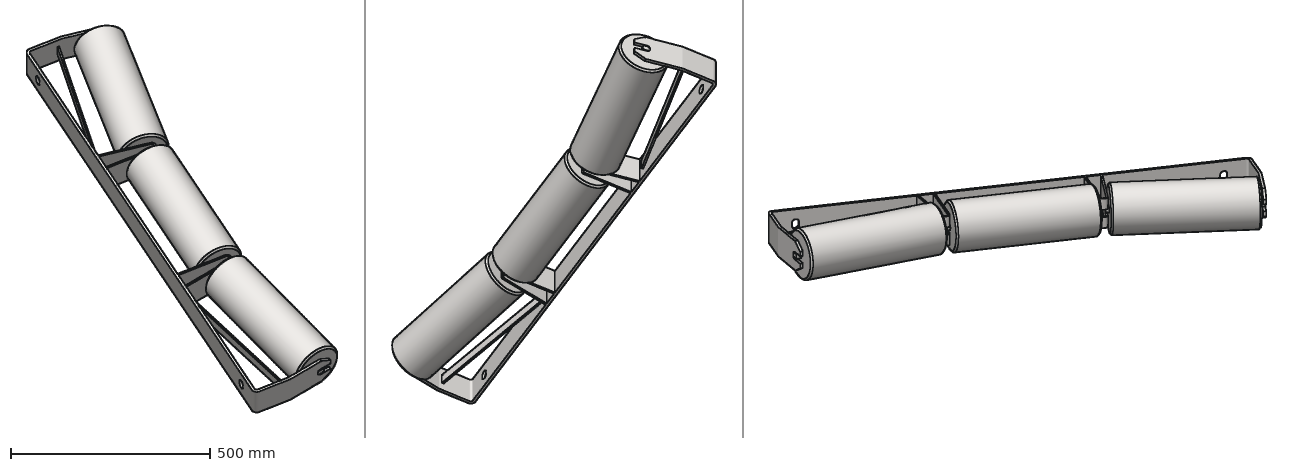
import cadquery as cq
import math

FRAME_LENGTH = 1260.0
STRIP_WIDTH = 81.0
STRIP_THICKNESS = 8.0
CORNER_RADIUS = 14.0
WALL_BEND_HEIGHT = 102.0
WALL_TIP_LENGTH = 127.0
TIP_CHAMFER_ALONG = 29.0
TIP_CHAMFER_ACROSS = 18.0
MOUNT_HOLE_X = 558.0
MOUNT_HOLE_WIDTH = 19.0
MOUNT_HOLE_LENGTH = 26.0

ROLLER_DIAMETER = 134.0
ROLLER_LENGTH = 380.0
ROLLER_CHAMFER = 5.0
SHAFT_DIAMETER = 20.0
SHAFT_ACROSS_FLATS = 14.0
MIDDLE_ROLLER_HEIGHT = 126.0
SIDE_ROLLER_X = 412.0
SIDE_ROLLER_HEIGHT = 161.0
TILT = 10.0

BRACKET_THICKNESS = 5.0
BRACKET_HEIGHT = 152.0
BRACKET_CLEARANCE = 4.0
BRACKET_BEND_RADIUS = 10.0
SLOT_REACH = 13.0

BRACE_WIDTH = 29.0
BRACE_THICKNESS = 5.0
BRACE_FOOT_X = 261.0
BRACE_FOOT_HEIGHT = 14.0
BRACE_TOP_HEIGHT = 95.0

AXIS_X = math.cos(math.radians(TILT))
AXIS_Y = -math.sin(math.radians(TILT))
UP_X = -AXIS_Y
UP_Y = AXIS_X

WALL_X = -FRAME_LENGTH / 2
PLATE_REACH = ROLLER_LENGTH / 2 + BRACKET_CLEARANCE + BRACKET_THICKNESS
WALL_REACH = (-SIDE_ROLLER_X - WALL_X) * AXIS_X + (SIDE_ROLLER_HEIGHT - WALL_BEND_HEIGHT) * AXIS_Y

SIDE_AXIS = cq.Plane(
    origin=(-SIDE_ROLLER_X, SIDE_ROLLER_HEIGHT, 0), xDir=(UP_X, UP_Y, 0), normal=(AXIS_X, AXIS_Y, 0)
)
MIDDLE_AXIS = cq.Plane(origin=(0, MIDDLE_ROLLER_HEIGHT, 0), xDir=(0, 1, 0), normal=(-1, 0, 0))


def inner_path(points, thickness):
    """Path beside the given one, a strip thickness to its left, with mitred corners."""
    inner = []
    for i, (x, y) in enumerate(points):
        before = points[max(i - 1, 0)]
        after = points[min(i + 1, len(points) - 1)]
        normals = []
        for (x0, y0), (x1, y1) in ((before, (x, y)), ((x, y), after)):
            length = math.hypot(x1 - x0, y1 - y0)
            if length > 0:
                normals.append(((y0 - y1) / length, (x1 - x0) / length))
        (ax, ay), (bx, by) = normals[0], normals[-1]
        miter = thickness / (1 + ax * bx + ay * by)
        inner.append((x + (ax + bx) * miter, y + (ay + by) * miter))
    return inner


def bent_strip(points, thickness, width, rounded):
    """Strip with its outer face along the points and its material to their left.

    `rounded` maps the index of a bend to its outer radius.
    """
    inner = inner_path(points, thickness)
    strip = cq.Workplane("XY").polyline(points + inner[::-1]).close().extrude(width / 2, both=True)
    for i, radius in rounded.items():
        for (x, y), r in ((points[i], radius), (inner[i], radius - thickness)):
            strip = strip.edges(cq.selectors.NearestToPointSelector((x, y, 0))).fillet(r)
    return strip


def shaft_slot(plane, start, depth):
    """Cutter for a slot that holds a shaft end and opens at the top of its plate."""
    slot = cq.Workplane(plane).workplane(offset=start)
    round_bottom = slot.circle(SHAFT_DIAMETER / 2).extrude(depth)
    sides = slot.center(ROLLER_DIAMETER / 2, 0).rect(ROLLER_DIAMETER, SHAFT_DIAMETER).extrude(depth)
    return round_bottom.union(sides)


def main_strip():
    """Left half of the base with its leaning end wall, shaft slot and mounting hole."""
    tip = (WALL_X + WALL_TIP_LENGTH * UP_X, WALL_BEND_HEIGHT + WALL_TIP_LENGTH * UP_Y)
    path = [tip, (WALL_X, WALL_BEND_HEIGHT), (WALL_X, 0), (0, 0)]
    strip = bent_strip(path, STRIP_THICKNESS, STRIP_WIDTH, {2: CORNER_RADIUS})

    half = STRIP_WIDTH / 2
    tip_up = (tip[0] + SIDE_ROLLER_X) * UP_X + (tip[1] - SIDE_ROLLER_HEIGHT) * UP_Y
    for side in (1, -1):
        corner = [
            (tip_up, side * half),
            (tip_up, side * (half - TIP_CHAMFER_ACROSS)),
            (tip_up - TIP_CHAMFER_ALONG, side * half),
        ]
        cutter = cq.Workplane(SIDE_AXIS).workplane(offset=-WALL_REACH).polyline(corner).close()
        strip = strip.cut(cutter.extrude(STRIP_THICKNESS))
    strip = strip.cut(shaft_slot(SIDE_AXIS, -WALL_REACH, STRIP_THICKNESS))

    hole = cq.Workplane("XZ").center(-MOUNT_HOLE_X, 0).slot2D(MOUNT_HOLE_LENGTH, MOUNT_HOLE_WIDTH, 90)
    return strip.cut(hole.extrude(-STRIP_THICKNESS))


def bracket():
    """Left bracket: an upright leg for the middle roller and a tilted leg for the side roller."""
    foot_y = STRIP_THICKNESS / 2
    tilted_x = -SIDE_ROLLER_X + PLATE_REACH * AXIS_X
    tilted_y = SIDE_ROLLER_HEIGHT + PLATE_REACH * AXIS_Y
    slope = UP_X / UP_Y

    def inner_face_x(y):
        return tilted_x + (y - tilted_y) * slope

    shift = BRACKET_THICKNESS / UP_Y
    upright_x = -PLATE_REACH + BRACKET_THICKNESS
    path = [
        (upright_x, foot_y),
        (upright_x, BRACKET_HEIGHT),
        (inner_face_x(BRACKET_HEIGHT) - shift, BRACKET_HEIGHT),
        (inner_face_x(foot_y) - shift, foot_y),
    ]
    bends = {1: BRACKET_BEND_RADIUS, 2: BRACKET_BEND_RADIUS}
    plate = bent_strip(path, BRACKET_THICKNESS, STRIP_WIDTH, bends)
    for plane in (SIDE_AXIS, MIDDLE_AXIS):
        plate = plate.cut(shaft_slot(plane, PLATE_REACH - BRACKET_THICKNESS, SLOT_REACH))
    return plate


def brace():
    """Flat bar from the base up to the left end wall."""
    path = [
        (-BRACE_FOOT_X, BRACE_FOOT_HEIGHT),
        (WALL_X + STRIP_THICKNESS / 2, BRACE_TOP_HEIGHT),
    ]
    return bent_strip(path, BRACE_THICKNESS, BRACE_WIDTH, {})


def frame():
    """Welded frame, symmetric about the middle of its length."""
    half = main_strip().union(bracket()).union(brace())
    return half.union(half.mirror("YZ"))


def roller(plane, back_reach, front_reach):
    """Roller centred on the plane's origin, its shaft reaching both ways along the normal."""
    axis = cq.Workplane(plane)
    drum = axis.workplane(offset=-ROLLER_LENGTH / 2).circle(ROLLER_DIAMETER / 2).extrude(ROLLER_LENGTH)
    drum = drum.edges("%CIRCLE").chamfer(ROLLER_CHAMFER)
    end = axis.workplane(offset=-back_reach)
    shaft = end.circle(SHAFT_DIAMETER / 2).extrude(back_reach + front_reach)
    flats = end.rect(SHAFT_DIAMETER, SHAFT_ACROSS_FLATS).extrude(back_reach + front_reach)
    return drum.union(shaft.intersect(flats))


idler_frame = frame()
left_roller = roller(SIDE_AXIS, WALL_REACH, PLATE_REACH)
right_roller = left_roller.mirror("YZ")
middle_roller = roller(MIDDLE_AXIS, PLATE_REACH, PLATE_REACH)

result = cq.Compound.makeCompound(
    [idler_frame.val(), left_roller.val(), middle_roller.val(), right_roller.val()]
)